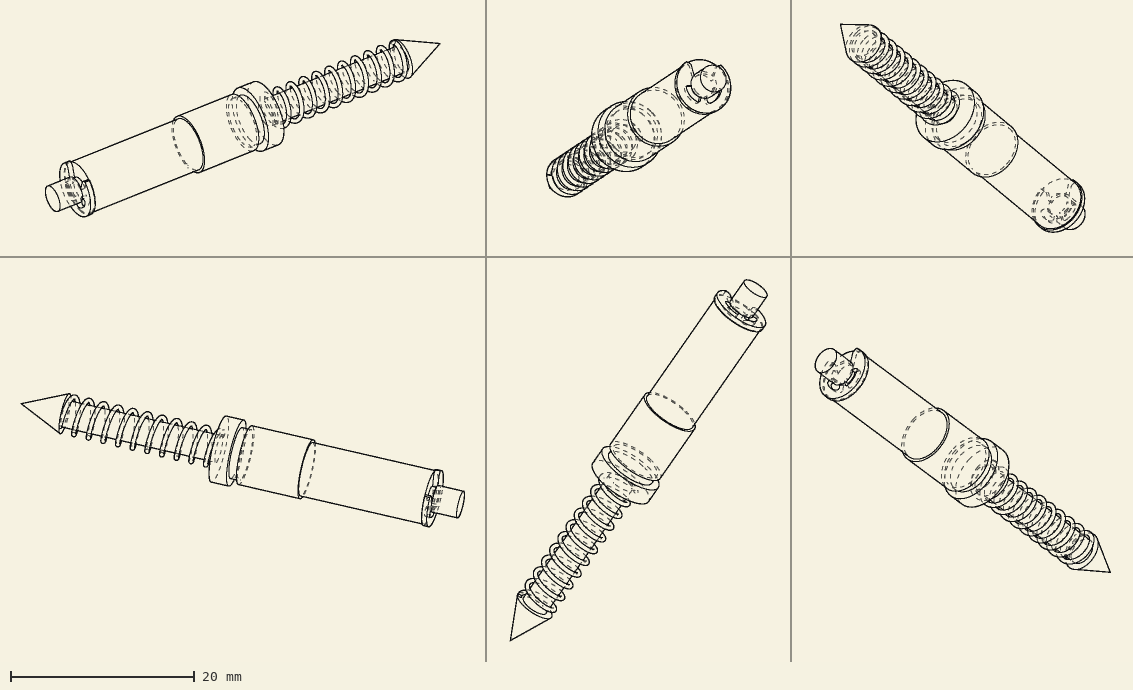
import cadquery as cq
import math

SHAFT_R = 1.5
TIP_R = 2.25
TIP_LENGTH = 5.0
SPRING_LENGTH = 17.5
COLLAR_R = 3.7
COLLAR_LENGTH = 2.0
GROOVE_R = 2.85
GROOVE_LENGTH = 1.0
SLEEVE_R = 3.3
SLEEVE_LENGTH = 7.0
BARREL_R = 3.0
BARREL_LENGTH = 14.0
TAIL_LENGTH = 3.5

CLIP_R = 3.15
CLIP_THICKNESS = 0.6
CLIP_SEAT_R = 1.25
MOUTH_ROOT = (1.0, 0.5)
MOUTH_BEND = (1.45, 2.05)
MOUTH_ARC_MIDDLE = (1.6, 2.25)
MOUTH_RIM = (2.0, 2.4)
CLIP_RELIEF_R = 2.1
CLIP_RELIEF_START = 187.0
CLIP_RELIEF_END = 257.0
CLIP_RELIEF_CORNER_R = 0.25

WIRE_R = 0.25
SPRING_MEAN_R = TIP_R - WIRE_R
SPRING_TURNS = 10.5

COLLAR_TOP = COLLAR_LENGTH
TIP_BASE = COLLAR_TOP + SPRING_LENGTH
TIP_END = TIP_BASE + TIP_LENGTH
SLEEVE_TOP = -GROOVE_LENGTH
BARREL_TOP = SLEEVE_TOP - SLEEVE_LENGTH
BARREL_END = BARREL_TOP - BARREL_LENGTH
CLIP_FACE = BARREL_END - CLIP_THICKNESS
TAIL_END = BARREL_END - TAIL_LENGTH


def facing_tail(y):
    """XZ sketch plane at station y, with its normal towards the tail (-Y)."""
    return cq.Workplane("XZ", origin=(0, y, 0))


def make_turned_body():
    """Pointed shaft, collar, groove, sleeve, barrel and grooved tail as one revolve."""
    profile = [
        (0, TIP_END),
        (TIP_R, TIP_BASE),
        (SHAFT_R, TIP_BASE),
        (SHAFT_R, COLLAR_TOP),
        (COLLAR_R, COLLAR_TOP),
        (COLLAR_R, 0),
        (GROOVE_R, 0),
        (GROOVE_R, SLEEVE_TOP),
        (SLEEVE_R, SLEEVE_TOP),
        (SLEEVE_R, BARREL_TOP),
        (BARREL_R, BARREL_TOP),
        (BARREL_R, BARREL_END),
        (CLIP_SEAT_R, BARREL_END),
        (CLIP_SEAT_R, CLIP_FACE),
        (SHAFT_R, CLIP_FACE),
        (SHAFT_R, TAIL_END),
        (0, TAIL_END),
    ]
    return cq.Workplane("XY").polyline(profile).close().revolve(360, (0, 0), (0, 1))


def make_clip_relief():
    """Arc-shaped relief beside the tail, between the -X and -Z clip lobes."""
    def on_arc(radius, degrees):
        angle = math.radians(degrees)
        return (radius * math.cos(angle), radius * math.sin(angle))

    middle = (CLIP_RELIEF_START + CLIP_RELIEF_END) / 2
    inner_r = SHAFT_R / 2
    relief = (
        facing_tail(BARREL_END)
        .moveTo(*on_arc(inner_r, CLIP_RELIEF_START))
        .lineTo(*on_arc(CLIP_RELIEF_R, CLIP_RELIEF_START))
        .threePointArc(on_arc(CLIP_RELIEF_R, middle), on_arc(CLIP_RELIEF_R, CLIP_RELIEF_END))
        .lineTo(*on_arc(inner_r, CLIP_RELIEF_END))
        .threePointArc(on_arc(inner_r, middle), on_arc(inner_r, CLIP_RELIEF_START))
        .close()
        .extrude(CLIP_THICKNESS)
    )
    outer_corners = relief.edges("|Y").filter(
        lambda edge: math.hypot(edge.Center().x, edge.Center().z) > SHAFT_R
    )
    return outer_corners.fillet(CLIP_RELIEF_CORNER_R)


def make_clip():
    """E-shaped retaining clip seated against the end of the barrel."""
    clip = facing_tail(BARREL_END).circle(CLIP_R).extrude(CLIP_THICKNESS)
    mouth_half = (
        facing_tail(BARREL_END)
        .moveTo(0, MOUTH_ROOT[1])
        .lineTo(*MOUTH_ROOT)
        .lineTo(*MOUTH_BEND)
        .threePointArc(MOUTH_ARC_MIDDLE, MOUTH_RIM)
        .lineTo(MOUTH_RIM[0], CLIP_R)
        .lineTo(0, CLIP_R)
        .close()
        .extrude(CLIP_THICKNESS)
    )
    mouth = mouth_half.union(mouth_half.mirror("YZ"))
    left_relief = make_clip_relief()
    right_relief = left_relief.mirror("YZ")
    return clip.cut(mouth).cut(left_relief).cut(right_relief)


def make_probe():
    """Turned body with its retaining clip, as one solid."""
    return make_turned_body().union(make_clip()).solids()


def make_spring():
    """Round-wire spring between tip and collar, with flat ends against both."""
    pitch = SPRING_LENGTH / SPRING_TURNS
    helix = cq.Wire.makeHelix(pitch, SPRING_LENGTH, SPRING_MEAN_R, lefthand=True)
    coil = (
        cq.Workplane("XZ", origin=(SPRING_MEAN_R, 0, 0))
        .circle(WIRE_R)
        .sweep(cq.Workplane(obj=helix), isFrenet=True)
    )
    between_seats = cq.Workplane("XY").circle(COLLAR_R).extrude(SPRING_LENGTH)
    coil = coil.intersect(between_seats).solids()
    return coil.rotate((0, 0, 0), (1, 0, 0), -90).translate((0, COLLAR_TOP, 0))


probe = make_probe()
spring = make_spring()

result = cq.Compound.makeCompound([probe.val(), spring.val()])